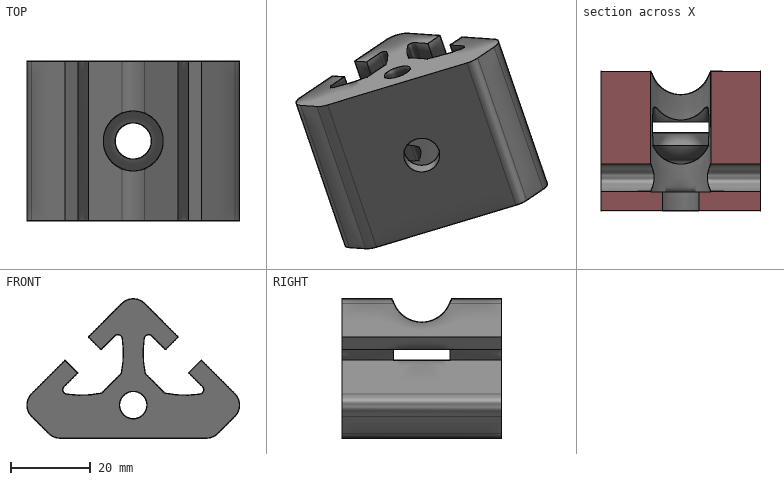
import cadquery as cq
import math

length = 40.0
square_side = 40.0
corner_radius = 4.0
base_drop = 8.31

slot_opening = 8.2
slot_depth = 12.3
lip_thickness = 4.5
web_thickness = 5.0
web_waist_height = 13.0
slot_wall_radius = 25.0
slot_corner_radius = 1.1

core_hole_diameter = 6.8
bolt_hole_diameter = 9.0
counterbore_diameter = 15.0
counterbore_floor_z = -3.6

half_diagonal = square_side / math.sqrt(2)
slot_axis = cq.Vector(-1, 0, 1)


def make_body():
    """Bar with the cut-off square as its outline, centred along Y."""
    base_half_width = half_diagonal - base_drop
    outline = [
        (0, half_diagonal),
        (half_diagonal, 0),
        (base_half_width, -base_drop),
        (-base_half_width, -base_drop),
        (-half_diagonal, 0),
    ]
    bar = cq.Workplane("XZ").polyline(outline).close().extrude(length / 2, both=True)
    return bar.edges("|Y").fillet(corner_radius)


def slot_point(across, distance):
    """XZ point of the -X slot, from its place across the slot and its distance from the centre."""
    return (across - distance) / math.sqrt(2), (across + distance) / math.sqrt(2)


def mirrored(point):
    """Reflect an XZ point in the mid-plane of the -X slot."""
    x, z = point
    return -z, -x


def wall_point_at(distance):
    """Point of the slot's upper side wall at a distance from the centre, measured along the slot."""
    wall_centre_x = -web_thickness / 2 - slot_wall_radius
    line_offset = distance * math.sqrt(2) + wall_centre_x - web_waist_height
    rise = (line_offset + math.sqrt(2 * slot_wall_radius**2 - line_offset**2)) / 2
    run = rise - line_offset
    return wall_centre_x + run, web_waist_height + rise


def make_slot():
    """Cutter for the T-slot in the face on the -X side."""
    floor_distance = square_side / 2 - slot_depth
    shoulder_distance = square_side / 2 - lip_thickness

    floor_corner = wall_point_at(floor_distance)
    waist = (-web_thickness / 2, web_waist_height)
    shoulder_corner = wall_point_at(shoulder_distance)

    chamber = (
        cq.Workplane("XZ")
        .moveTo(*floor_corner)
        .threePointArc(waist, shoulder_corner)
        .lineTo(*mirrored(shoulder_corner))
        .threePointArc(mirrored(waist), mirrored(floor_corner))
        .close()
        .extrude(length / 2, both=True)
    )
    shoulder_face = chamber.faces(cq.selectors.DirectionMinMaxSelector(slot_axis))
    chamber = shoulder_face.edges("|Y").fillet(slot_corner_radius)

    half_opening = slot_opening / 2
    opening_outline = [
        slot_point(half_opening, shoulder_distance),
        slot_point(half_opening, square_side),
        slot_point(-half_opening, square_side),
        slot_point(-half_opening, shoulder_distance),
    ]
    opening = cq.Workplane("XZ").polyline(opening_outline).close().extrude(length / 2, both=True)
    return chamber.union(opening)


def make_core_hole():
    """Hole along the whole length, on the square's centre."""
    return cq.Workplane("XZ").circle(core_hole_diameter / 2).extrude(length / 2, both=True)


def bore_to_top(diameter, floor_z):
    """Vertical cylinder on the Z axis, from a floor height to above the rounded ridge."""
    floor = cq.Workplane("XY").workplane(offset=floor_z)
    return floor.circle(diameter / 2).extrude(half_diagonal - floor_z)


def make_bolt_hole():
    """Vertical through hole with a deep counterbore from the top."""
    hole = bore_to_top(bolt_hole_diameter, -base_drop)
    counterbore = bore_to_top(counterbore_diameter, counterbore_floor_z)
    return hole.union(counterbore)


slot = make_slot()
result = make_body().cut(slot).cut(slot.mirror("YZ")).cut(make_core_hole()).cut(make_bolt_hole())